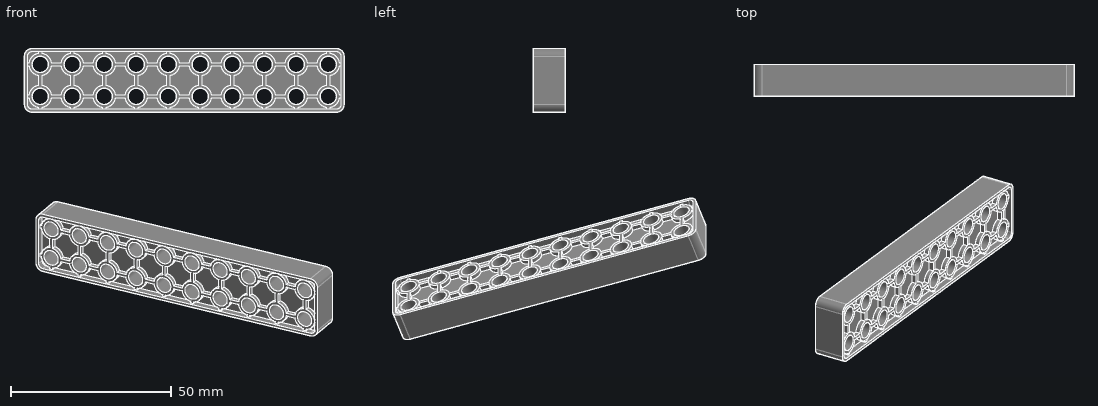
import cadquery as cq

pitch = 10.0
columns = 10
rows = 2
thickness = 10.0
corner_radius = 2.5
wall = 1.0
pocket_depth = 2.3
lattice_height = 1.5
hole_diameter = 5.0
boss_diameter = 7.0
rib_width = 1.0

length = columns * pitch
height = rows * pitch
pocket_length = length - 2 * wall
pocket_height = height - 2 * wall
pocket_radius = corner_radius - wall
front_y = -thickness / 2
lattice_y = front_y + pocket_depth - lattice_height


def plane_at(y):
    """Workplane facing -Y at the given Y, so a negative extrusion runs toward +Y."""
    return cq.Workplane("XZ", origin=(0, y, 0))


def rounded_block(size_x, size_z, radius, depth):
    """Block with rounded corners, running back from the front face."""
    return plane_at(front_y).rect(size_x, size_z).extrude(-depth).edges("|Y").fillet(radius)


def grid_cylinders(diameter, start_y, depth):
    """One cylinder at the centre of each grid cell, running back from start_y."""
    return plane_at(start_y).rarray(pitch, pitch, columns, rows).circle(diameter / 2).extrude(-depth)


def grid_ribs():
    """Straight ribs through the hole centres along X and Z, reaching from wall to wall."""
    long_rows = plane_at(lattice_y).rarray(pitch, pitch, 1, rows)
    long_ribs = long_rows.rect(pocket_length, rib_width).extrude(-lattice_height)
    cross_rows = plane_at(lattice_y).rarray(pitch, pitch, columns, 1)
    cross_ribs = cross_rows.rect(rib_width, pocket_height).extrude(-lattice_height)
    return long_ribs.union(cross_ribs)


body = rounded_block(length, height, corner_radius, thickness)
pocket = rounded_block(pocket_length, pocket_height, pocket_radius, pocket_depth)

bosses = grid_cylinders(boss_diameter, lattice_y, lattice_height)
lattice = bosses.union(grid_ribs())

holes = grid_cylinders(hole_diameter, front_y, thickness)

result = body.cut(pocket).union(lattice).cut(holes)